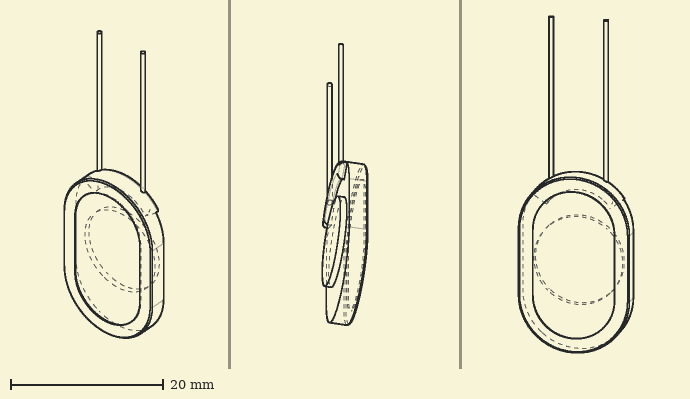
import cadquery as cq
import math

total_height = 44.95
total_depth = 3.4
body_width = 15.0
body_straight = 9.0
body_depth = 2.55
front_chamfer = 0.202

panel_inset = 2.0
panel_depth = 0.2

boss_diameter = 12.0

pad_half_span = 6.2
pad_radial_width = 2.3
pad_rounding = 0.55

wire_diameter = 0.65
wire_spacing = 7.4
wire_back_gap = 0.22

end_radius = body_width / 2
body_height = body_straight + body_width
back_height = total_depth - body_depth
arc_center_z = body_straight / 2
wire_top_z = total_height - body_height / 2
wire_y = total_depth - wire_back_gap - wire_diameter / 2


def plane_at(y):
    """XZ sketch plane at depth y; positive extrusion runs towards -Y."""
    return cq.Workplane("XZ", origin=(0, y, 0))


def make_body():
    body = (
        plane_at(body_depth)
        .slot2D(body_height, body_width, 90)
        .extrude(body_depth)
        .faces("<Y")
        .chamfer(front_chamfer)
    )
    panel = (
        plane_at(panel_depth)
        .slot2D(body_height - 2 * panel_inset, body_width - 2 * panel_inset, 90)
        .extrude(panel_depth)
    )
    return body.cut(panel)


def make_boss():
    return plane_at(total_depth).circle(boss_diameter / 2).extrude(back_height)


def make_pad():
    """Arc-shaped band with radial ends and a rounded rear rim."""
    end_angle = math.acos(pad_half_span / end_radius)
    inner_radius = end_radius - pad_radial_width

    def arc_point(radius, angle):
        return (radius * math.cos(angle), arc_center_z + radius * math.sin(angle))

    top_angle = math.pi / 2
    left_angle = math.pi - end_angle
    return (
        plane_at(total_depth)
        .moveTo(*arc_point(end_radius, end_angle))
        .threePointArc(arc_point(end_radius, top_angle), arc_point(end_radius, left_angle))
        .lineTo(*arc_point(inner_radius, left_angle))
        .threePointArc(arc_point(inner_radius, top_angle), arc_point(inner_radius, end_angle))
        .close()
        .extrude(back_height)
        .faces(">Y")
        .edges()
        .fillet(pad_rounding)
    )


def make_wire(x):
    """Vertical wire whose lower end is embedded in the middle of the pad."""
    pad_middle_radius = end_radius - pad_radial_width / 2
    bottom_z = arc_center_z + math.sqrt(pad_middle_radius**2 - x**2)
    return (
        cq.Workplane("XY", origin=(x, wire_y, bottom_z))
        .circle(wire_diameter / 2)
        .extrude(wire_top_z - bottom_z)
    )


result = make_body().union(make_boss()).union(make_pad())
for side in (-1, 1):
    result = result.union(make_wire(side * wire_spacing / 2))